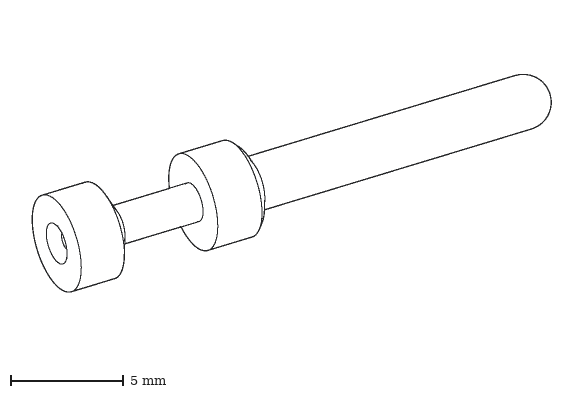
import cadquery as cq
import math

length = 25.0
flange_radius = 2.25
pin_radius = 1.25
neck_radius = 0.9

head_rim_end = 2.2
head_cone_end = 2.98
collar_start = 6.95
collar_rim_end = 9.2
collar_bevel_end = 9.5
collar_cone_end = 9.9
dome_start = length - pin_radius

collar_bevel_radius = 1.95

countersink_radius = 0.95
pilot_radius = 0.45
pilot_length = 2 * pilot_radius
countersink_half_angle = math.radians(45)
tip_half_angle = math.radians(60)
countersink_depth = (countersink_radius - pilot_radius) / math.tan(countersink_half_angle)
pilot_end = countersink_depth + pilot_length
hole_depth = pilot_end + pilot_radius / math.tan(tip_half_angle)


def turn(profile):
    """Revolve a closed half profile, drawn as (radius, Y), around the Y axis."""
    return profile.close().revolve(360, (0, 0, 0), (0, 1, 0))


def make_body():
    """Head, neck, collar and round-ended pin as one turned solid."""
    dome_middle = pin_radius * math.sqrt(0.5)
    profile = (
        cq.Workplane("XY")
        .moveTo(0, 0)
        .lineTo(flange_radius, 0)
        .lineTo(flange_radius, head_rim_end)
        .lineTo(neck_radius, head_cone_end)
        .lineTo(neck_radius, collar_start)
        .lineTo(flange_radius, collar_start)
        .lineTo(flange_radius, collar_rim_end)
        .lineTo(collar_bevel_radius, collar_bevel_end)
        .lineTo(pin_radius, collar_cone_end)
        .lineTo(pin_radius, dome_start)
        .threePointArc((dome_middle, dome_start + dome_middle), (0, length))
    )
    return turn(profile)


def make_centre_hole():
    """Countersink, pilot bore and conical drill tip."""
    profile = (
        cq.Workplane("XY")
        .moveTo(0, 0)
        .lineTo(countersink_radius, 0)
        .lineTo(pilot_radius, countersink_depth)
        .lineTo(pilot_radius, pilot_end)
        .lineTo(0, hole_depth)
    )
    return turn(profile)


result = make_body().cut(make_centre_hole())